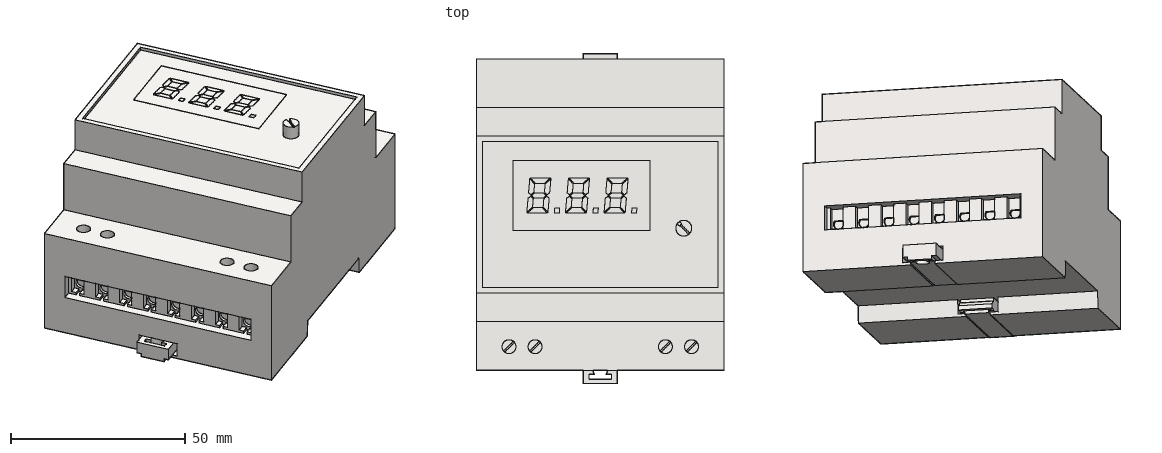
import cadquery as cq
import math

OVERALL_DEPTH = 94.7

WIDTH = 71.0
BASE_HALF_DEPTH = 44.7
BASE_HEIGHT = 32.0
SHOULDER_HALF_DEPTH = 30.7
SHOULDER_HEIGHT = 47.6
TOP_HALF_DEPTH = 22.5
TOP_HEIGHT = 57.8

RAIL_HALF_AT_CEILING = 18.4
RAIL_HALF_AT_MOUTH = 18.75
RAIL_HEIGHT = 5.0

CHANNEL_WIDTH = 11.9
LIP_HEIGHT = 0.85
LIP_OPENING = 7.2

LABEL_WIDTH = 67.6
LABEL_DEPTH = 41.9
LABEL_RECESS = 0.9
LABEL_Z = TOP_HEIGHT - LABEL_RECESS

WINDOW_WIDTH = 39.2
WINDOW_DEPTH = 20.1
WINDOW_X = -5.4
WINDOW_Y = 5.5
ENGRAVING = 0.1
DIGIT_COUNT = 3
FIRST_DIGIT_X = -17.6
DIGIT_PITCH = 11.1
DIGIT_HALF_WIDTH = 3.0
DIGIT_HALF_HEIGHT = 5.0
DIGIT_SLANT_DEGREES = 5
STROKE = 1.5
SEGMENT_GAP = 0.2
DOT_SIZE = 1.4
DOT_OFFSET = 5.6

KNOB_DIAMETER = 4.5
KNOB_TOP = 60.8
KNOB_X = 24.0
KNOB_Y = -3.9
KNOB_SLOT_WIDTH = 0.5
KNOB_SLOT_DEPTH = 0.2
POINTER_SIZE = 0.9
KNOB_ANGLE = -45

TERMINAL_COUNT = 8
TERMINAL_PITCH = 7.5
TERMINAL_ROW_WIDTH = 58.1
TERMINAL_ROW_FLOOR = 11.9
TERMINAL_ROW_TOP = 19.0
TERMINAL_ROW_DEPTH = 2.65
POCKET_WIDTH = 3.8
POCKET_FLOOR = 12.7
POCKET_DEPTH = 2.2
NOTCH_WIDTH = 1.0
WIRE_HOLE_DIAMETER = 3.0
WIRE_HOLE_Z = 14.7
WIRE_HOLE_FLAT_Z = 15.6
WIRE_HOLE_DEPTH = 0.9

WELL_DIAMETER = 4.0
WELL_DEPTH = 3.8
WELL_SETBACK = 6.8
WELL_TERMINALS = (0, 1, TERMINAL_COUNT - 2, TERMINAL_COUNT - 1)
SCREW_SLOT_WIDTH = 0.5
SCREW_SLOT_DEPTH = 0.5
SCREW_SLOT_ANGLE = 45

CLIP_WIDTH = 9.85
TONGUE_WIDTH = 7.1
FIXED_END_Y = 46.2
FIXED_INNER_Y = 17.6
FIXED_TOP = 4.7
FIXED_BOTTOM = 0.3
FIXED_FOOT_REACH = 0.6
FIXED_HOOK_REACH = 2.1
FIXED_HOOK_LOW = 1.2
FIXED_HOOK_TIP_TOP = 2.5
FIXED_HOOK_ROOT_TOP = 3.7
LATCH_END_Y = FIXED_END_Y - OVERALL_DEPTH
LATCH_INNER_Y = -17.3
LATCH_STEP = 1.4
LATCH_BOTTOM = 0.5
LATCH_HOOK_ROOT_REACH = 0.5
LATCH_HOOK_REACH = 1.7
LATCH_HOOK_TOP = 4.1
TOOL_SLOT_WIDTH = 6.3
TOOL_SLOT_LENGTH = 1.3
TOOL_SLOT_WALL = 1.3
TOOL_HOLE_DIAMETER = 4.0

FRONT_Y = -BASE_HALF_DEPTH


def box(width, y_range, z_range, x=0.0):
    """Block centred on x, between two Y positions and two Z positions."""
    depth = y_range[1] - y_range[0]
    height = z_range[1] - z_range[0]
    corner = (x - width / 2, y_range[0], z_range[0])
    return cq.Workplane("XY").box(width, depth, height, centered=False).translate(corner)


def side_prism(points, width):
    """Y-Z outline extruded evenly to both sides of X = 0."""
    return cq.Workplane("YZ").polyline(points).close().extrude(width / 2, both=True)


def slot_bar(length, width, depth, angle, x, y, top):
    """Straight slot cutter, turned about Z, reaching down from the given top."""
    bar = cq.Workplane("XY").box(length, width, depth, centered=(True, True, False))
    return bar.rotate((0, 0, 0), (0, 0, 1), angle).translate((x, y, top - depth))


def terminal_x(index):
    return (index - (TERMINAL_COUNT - 1) / 2) * TERMINAL_PITCH


def housing_block():
    right_half = [
        (RAIL_HALF_AT_CEILING, RAIL_HEIGHT),
        (RAIL_HALF_AT_MOUTH, 0),
        (BASE_HALF_DEPTH, 0),
        (BASE_HALF_DEPTH, BASE_HEIGHT),
        (SHOULDER_HALF_DEPTH, BASE_HEIGHT),
        (SHOULDER_HALF_DEPTH, SHOULDER_HEIGHT),
        (TOP_HALF_DEPTH, SHOULDER_HEIGHT),
        (TOP_HALF_DEPTH, TOP_HEIGHT),
    ]
    left_half = [(-y, z) for y, z in reversed(right_half)]
    return side_prism(right_half + left_half, WIDTH)


def guide_channel():
    full_depth = (-BASE_HALF_DEPTH, BASE_HALF_DEPTH)
    channel = box(CHANNEL_WIDTH, full_depth, (LIP_HEIGHT, RAIL_HEIGHT))
    return channel.union(box(LIP_OPENING, full_depth, (0, LIP_HEIGHT)))


def label_recess():
    half = LABEL_DEPTH / 2
    return box(LABEL_WIDTH, (-half, half), (LABEL_Z, TOP_HEIGHT))


def display_window():
    half = WINDOW_DEPTH / 2
    return box(WINDOW_WIDTH, (WINDOW_Y - half, WINDOW_Y + half), (LABEL_Z - ENGRAVING, LABEL_Z), WINDOW_X)


def digit_segments():
    """Outlines of the seven segments of an upright digit centred on the origin."""
    gap = SEGMENT_GAP
    side = DIGIT_HALF_WIDTH
    end = DIGIT_HALF_HEIGHT
    inner_side = side - STROKE
    inner_end = end - STROKE
    bar = STROKE / 2
    inset = inner_side - gap
    point = side - bar - gap
    top = [(-side + gap, end), (side - gap, end), (inset, inner_end), (-inset, inner_end)]
    bottom = [(x, -y) for x, y in top]
    middle = [(-point, 0), (-inset, bar), (inset, bar), (point, 0), (inset, -bar), (-inset, -bar)]
    upper_right = [
        (side, end - gap),
        (side, bar),
        (side - bar, gap),
        (inner_side, bar + gap),
        (inner_side, inner_end - gap),
    ]
    uprights = [[(sx * x, sy * y) for x, y in upper_right] for sx in (1, -1) for sy in (1, -1)]
    return [top, middle, bottom] + uprights


def display_digits():
    """Slanted digits, each followed by a square decimal point."""
    dot_low = -DIGIT_HALF_HEIGHT
    dot_high = dot_low + DOT_SIZE
    dot_left = DOT_OFFSET - DOT_SIZE / 2
    dot_right = DOT_OFFSET + DOT_SIZE / 2
    dot = [(dot_left, dot_low), (dot_right, dot_low), (dot_right, dot_high), (dot_left, dot_high)]
    slant = math.tan(math.radians(DIGIT_SLANT_DEGREES))
    cutter = cq.Workplane("XY").workplane(offset=LABEL_Z - 2 * ENGRAVING)
    for index in range(DIGIT_COUNT):
        digit_x = FIRST_DIGIT_X + index * DIGIT_PITCH
        for outline in digit_segments() + [dot]:
            slanted = [(digit_x + x + y * slant, WINDOW_Y + y) for x, y in outline]
            cutter = cutter.polyline(slanted).close()
    return cutter.extrude(ENGRAVING)


def knob():
    """Round post with a slot and a pointer notch at one end of the slot."""
    height = KNOB_TOP - LABEL_Z
    post = cq.Workplane("XY").circle(KNOB_DIAMETER / 2).extrude(height)
    slot = slot_bar(KNOB_DIAMETER, KNOB_SLOT_WIDTH, KNOB_SLOT_DEPTH, 0, 0, 0, height)
    pointer_x = (POINTER_SIZE - KNOB_DIAMETER) / 2
    pointer = slot_bar(POINTER_SIZE, POINTER_SIZE, POINTER_SIZE, 0, pointer_x, 0, height)
    turned = post.cut(slot).cut(pointer).rotate((0, 0, 0), (0, 0, 1), KNOB_ANGLE)
    return turned.translate((KNOB_X, KNOB_Y, LABEL_Z))


def terminal_row():
    back_y = FRONT_Y + TERMINAL_ROW_DEPTH
    return box(TERMINAL_ROW_WIDTH, (FRONT_Y, back_y), (TERMINAL_ROW_FLOOR, TERMINAL_ROW_TOP))


def terminal_pocket(x):
    """Square pocket with a notch in its floor and a flat-topped wire hole in its back wall."""
    front = FRONT_Y + TERMINAL_ROW_DEPTH
    back = front + POCKET_DEPTH
    hole_end = back + WIRE_HOLE_DEPTH
    pocket = box(POCKET_WIDTH, (front, back), (POCKET_FLOOR, TERMINAL_ROW_TOP), x)
    notch = box(NOTCH_WIDTH, (front, back), (TERMINAL_ROW_FLOOR, POCKET_FLOOR), x)
    bore = (
        cq.Workplane("XZ", origin=(x, back, WIRE_HOLE_Z))
        .circle(WIRE_HOLE_DIAMETER / 2)
        .extrude(-WIRE_HOLE_DEPTH)
    )
    below_flat = box(WIRE_HOLE_DIAMETER, (back, hole_end), (POCKET_FLOOR, WIRE_HOLE_FLAT_Z), x)
    return pocket.union(notch).union(bore.intersect(below_flat))


def screw_well(x):
    """Round well with a slotted screw head as its floor."""
    y = FRONT_Y + WELL_SETBACK
    floor_z = BASE_HEIGHT - WELL_DEPTH
    bore = cq.Workplane("XY", origin=(x, y, floor_z)).circle(WELL_DIAMETER / 2).extrude(WELL_DEPTH)
    slot = slot_bar(WELL_DIAMETER, SCREW_SLOT_WIDTH, SCREW_SLOT_DEPTH, SCREW_SLOT_ANGLE, x, y, floor_z)
    return bore.union(slot)


def fixed_clip():
    """Clip at the back foot whose sloped hook holds one edge of the rail."""
    body = box(CLIP_WIDTH, (FIXED_INNER_Y, FIXED_END_Y), (LIP_HEIGHT, FIXED_TOP))
    hook_foot_y = FIXED_INNER_Y - FIXED_FOOT_REACH
    hook_tip_y = FIXED_INNER_Y - FIXED_HOOK_REACH
    hook = side_prism(
        [
            (FIXED_INNER_Y, LIP_HEIGHT),
            (hook_foot_y, LIP_HEIGHT),
            (hook_foot_y, FIXED_HOOK_LOW),
            (hook_tip_y, FIXED_HOOK_LOW),
            (hook_tip_y, FIXED_HOOK_TIP_TOP),
            (hook_foot_y, FIXED_HOOK_ROOT_TOP),
            (FIXED_INNER_Y, FIXED_HOOK_ROOT_TOP),
        ],
        CLIP_WIDTH,
    )
    tongue = box(TONGUE_WIDTH, (hook_foot_y, FIXED_END_Y), (FIXED_BOTTOM, LIP_HEIGHT))
    return body.union(hook).union(tongue)


def make_housing():
    body = housing_block().cut(guide_channel()).cut(label_recess())
    body = body.cut(display_window()).cut(display_digits()).cut(terminal_row())
    for index in range(TERMINAL_COUNT):
        body = body.cut(terminal_pocket(terminal_x(index)))
    for index in WELL_TERMINALS:
        body = body.cut(screw_well(terminal_x(index)))
    return body.union(knob()).union(fixed_clip())


def make_latch():
    """Sliding latch in the front foot: snap hook at the rail, tool slot in the outer handle."""
    body = box(CLIP_WIDTH, (LATCH_END_Y, LATCH_INNER_Y), (LATCH_STEP, RAIL_HEIGHT))
    tongue = box(TONGUE_WIDTH, (LATCH_END_Y, LATCH_INNER_Y), (LATCH_BOTTOM, LATCH_STEP))
    hook = side_prism(
        [
            (LATCH_INNER_Y, LATCH_STEP),
            (LATCH_INNER_Y + LATCH_HOOK_ROOT_REACH, LATCH_STEP),
            (LATCH_INNER_Y + LATCH_HOOK_REACH, LATCH_HOOK_TOP),
            (LATCH_INNER_Y, LATCH_HOOK_TOP),
        ],
        CLIP_WIDTH,
    )
    slot_y = LATCH_END_Y + TOOL_SLOT_WALL
    slot_end_y = slot_y + TOOL_SLOT_LENGTH
    tool_slot = box(TOOL_SLOT_WIDTH, (slot_y, slot_end_y), (LATCH_BOTTOM, RAIL_HEIGHT))
    tool_hole = (
        cq.Workplane("XY", origin=(0, FRONT_Y, LATCH_BOTTOM))
        .circle(TOOL_HOLE_DIAMETER / 2)
        .extrude(RAIL_HEIGHT - LATCH_BOTTOM)
    )
    return body.union(tongue).union(hook).cut(tool_slot).cut(tool_hole)


housing = make_housing()
latch = make_latch()
result = cq.Compound.makeCompound([housing.val(), latch.val()])